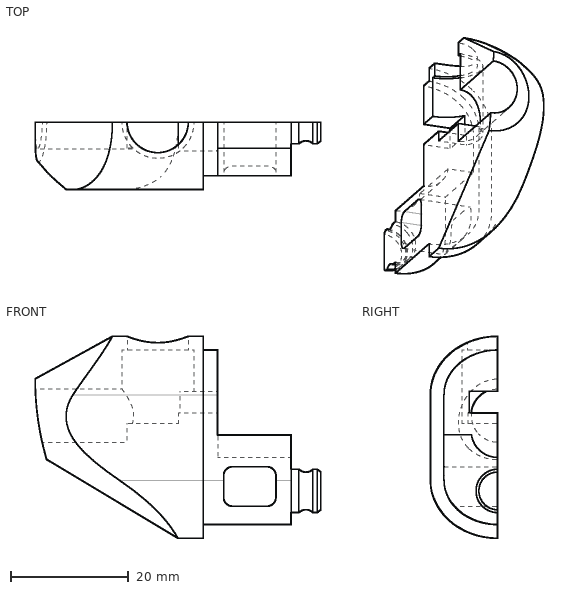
import cadquery as cq

LENGTH = 48.65
BODY_HEIGHT = 34.4
BODY_DEPTH = 11.5
BODY_END = 28.65
CORNER_HEIGHT = 9.95

RIM_INSET = 2.35
LIP_END = 31.1
BLOCK_END = 43.6
BLOCK_TOP = 17.6

NOSE_TOP = 27.15
NOSE_TOP_SLOPE = 0.55
NOSE_BOTTOM = 14.6
NOSE_BOTTOM_SLOPE = 0.6
NOSE_SECTIONS = [(0, 6.15), (5.35, 11.55), (9.75, 14.5), (14.6, 16.95), (29.2, 21.15)]
NOSE_FACE_RADIUS = 49.15

BORE_RADIUS = 4.53
NOSE_BORE_Z = 20.9
NOSE_BORE_END = 15.55
SEAT_Z = 18.3
TOP_HOLE_X = 20.88
TOP_HOLE_RADIUS = 5.2
CHAMBER_RADIUS = 6.15
CHAMBER_FLOOR = 19.6
CHAMBER_TOP = BODY_HEIGHT - RIM_INSET
STEP_X = 24.35
PASSAGE_FLOOR = 21.35
PASSAGE_TOP = 25.0
PASSAGE_DEPTH = 4.85

WINDOW_START = 32.1
WINDOW_END = 40.95
WINDOW_BOTTOM = 5.5
WINDOW_TOP = 12.15
WINDOW_CORNER_DIAMETER = 2.9

PIN_Z = 8.1
PIN_RADIUS = 3.7
PIN_CHAMFER = 0.5
PIN_CHAMFER_START = 48.05
GROOVE_START = 44.9
GROOVE_END = 47.3
GROOVE_DEPTH = 0.5


def half_outline(inset, start, end):
    """Flat-sided half section with elliptical corners, extruded along X."""
    top = BODY_HEIGHT - inset
    depth = BODY_DEPTH - inset
    corner = CORNER_HEIGHT - inset
    full = (
        cq.Workplane("YZ").ellipse(depth, corner).extrude(end - start)
    )
    upper = full.translate((start, 0, top - corner))
    lower = full.translate((start, 0, inset + corner))
    middle = box(start, end, depth, inset + corner, top - corner)
    return upper.union(lower).union(middle).intersect(box(start, end, depth, inset, top))


def box(start, end, depth, bottom, top):
    """Box reaching from the split plane to y = -depth."""
    return cq.Workplane("XY").box(end - start, depth, top - bottom, centered=False).translate(
        (start, -depth, bottom)
    )


def bore(start, end, height):
    """Round bore cutter along X, centred on the split plane."""
    return cq.Workplane("YZ", origin=(start, 0, height)).circle(BORE_RADIUS).extrude(end - start)


def nose_taper():
    """Smooth loft through upright ellipses that grow toward the rear."""
    sections = []
    for x, half_width in NOSE_SECTIONS:
        top = NOSE_TOP + NOSE_TOP_SLOPE * x
        bottom = NOSE_BOTTOM - NOSE_BOTTOM_SLOPE * x
        section = cq.Workplane("YZ", origin=(x, 0, (top + bottom) / 2))
        sections.append(section.ellipse(half_width, (top - bottom) / 2).val())
    return cq.Workplane(cq.Solid.makeLoft(sections))


def nose_face():
    """Cylinder along Y whose leftmost line touches the top of the nose."""
    return (
        cq.Workplane("XZ", origin=(NOSE_FACE_RADIUS, 0, NOSE_TOP))
        .circle(NOSE_FACE_RADIUS)
        .extrude(BODY_DEPTH)
    )


def chamber():
    """Round chamber under the top hole, with a raised step at its rear."""
    top_hole = cq.Workplane("XY", origin=(TOP_HOLE_X, 0, CHAMBER_FLOOR)).circle(TOP_HOLE_RADIUS)
    room = cq.Workplane("XY", origin=(TOP_HOLE_X, 0, CHAMBER_FLOOR)).circle(CHAMBER_RADIUS)
    room = room.extrude(CHAMBER_TOP - CHAMBER_FLOOR)
    room = room.union(top_hole.extrude(BODY_HEIGHT - CHAMBER_FLOOR))
    step = box(STEP_X, BODY_END, BODY_DEPTH, CHAMBER_FLOOR, PASSAGE_FLOOR)
    return room.cut(step)


def window():
    length = WINDOW_END - WINDOW_START
    height = WINDOW_TOP - WINDOW_BOTTOM
    center = ((WINDOW_START + WINDOW_END) / 2, 0, (WINDOW_BOTTOM + WINDOW_TOP) / 2)
    cutter = cq.Workplane("XZ", origin=center).rect(length, height).extrude(BODY_DEPTH)
    return cutter.edges("|Y").fillet(WINDOW_CORNER_DIAMETER / 2)


def pin():
    """Half pin with a rounded groove and a chamfered tip."""
    groove_middle = ((GROOVE_START + GROOVE_END) / 2, PIN_RADIUS - GROOVE_DEPTH)
    return (
        cq.Workplane("XY", origin=(0, 0, PIN_Z))
        .moveTo(BLOCK_END, 0)
        .lineTo(BLOCK_END, -PIN_RADIUS)
        .lineTo(GROOVE_START, -PIN_RADIUS)
        .threePointArc((groove_middle[0], -groove_middle[1]), (GROOVE_END, -PIN_RADIUS))
        .lineTo(PIN_CHAMFER_START, -PIN_RADIUS)
        .lineTo(LENGTH, -PIN_RADIUS + PIN_CHAMFER)
        .lineTo(LENGTH, 0)
        .close()
        .revolve(360, (0, 0, 0), (1, 0, 0))
        .intersect(box(BLOCK_END, LENGTH, PIN_RADIUS, PIN_Z - PIN_RADIUS, PIN_Z + PIN_RADIUS))
    )


body = half_outline(0, 0, BODY_END).intersect(nose_taper()).intersect(nose_face())
rear = half_outline(RIM_INSET, BODY_END, BLOCK_END)
rear = rear.cut(box(LIP_END, BLOCK_END, BODY_DEPTH, BLOCK_TOP, BODY_HEIGHT))

result = body.union(rear).union(pin())
result = result.cut(bore(0, NOSE_BORE_END, NOSE_BORE_Z))
upper_bore = bore(NOSE_BORE_END, STEP_X, NOSE_BORE_Z)
above_floor = box(NOSE_BORE_END, STEP_X, BODY_DEPTH, CHAMBER_FLOOR, BODY_HEIGHT)
result = result.cut(upper_bore.intersect(above_floor))
result = result.cut(chamber())
result = result.cut(box(STEP_X, LIP_END, PASSAGE_DEPTH, PASSAGE_FLOOR, PASSAGE_TOP))
result = result.cut(bore(LIP_END, BLOCK_END, SEAT_Z))
result = result.cut(window())